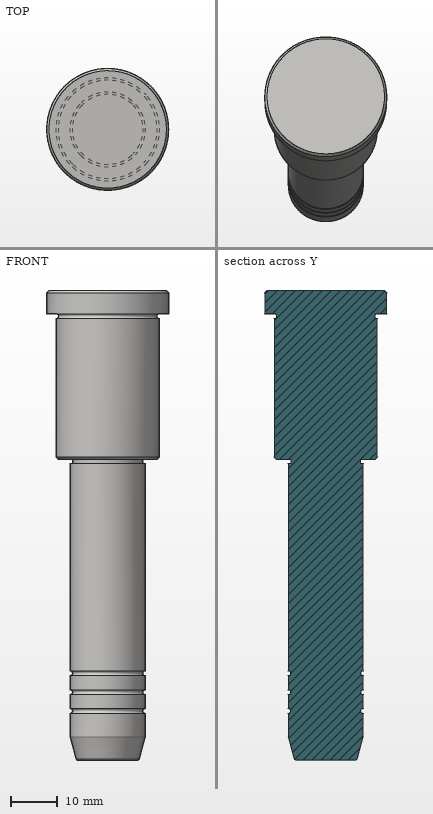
import cadquery as cq
import math

total_length = 100.0
head_height = 5.0
sleeve_bottom = 64.0
taper_height = 5.0

head_radius = 13.0
sleeve_radius = 11.0
pin_radius = 8.0

edge_chamfer = 0.5
taper_angle = math.radians(15.0)
tip_fillet = 0.5

head_groove_width = 1.0

relief_width = 0.8
relief_depth = 0.5

ring_groove_tops = (19.0, 15.0, 11.0)
ring_groove_width = 1.0


def cylinder(radius, bottom, top):
    """Solid cylinder on the Z axis between two heights."""
    return cq.Workplane("XY").workplane(offset=bottom).circle(radius).extrude(top - bottom)


def cut_groove(body, outer_radius, depth, top, width):
    """Cut a square ring groove into a cylindrical surface."""
    bottom = top - width
    ring = cylinder(outer_radius, bottom, top).cut(cylinder(outer_radius - depth, bottom, top))
    return body.cut(ring)


def cut_round_groove(body, outer_radius, top, width):
    """Cut a ring groove with a semicircular section into a cylindrical surface."""
    groove_radius = width / 2
    middle = top - groove_radius
    section = cq.Workplane("XZ").center(outer_radius, middle).circle(groove_radius)
    return body.cut(section.revolve(360, (-outer_radius, 0, 0), (-outer_radius, 1, 0)))


def tapered_tip():
    """Cone narrowing towards the tip, with a rounded end edge."""
    end_radius = pin_radius - taper_height * math.tan(taper_angle)
    profile = (
        cq.Workplane("XZ")
        .lineTo(end_radius, 0)
        .lineTo(pin_radius, taper_height)
        .lineTo(0, taper_height)
        .close()
    )
    cone = profile.revolve(360, (0, 0, 0), (0, 1, 0))
    return cone.faces("<Z").edges().fillet(tip_fillet)


head_bottom = total_length - head_height
head = cylinder(head_radius, head_bottom, total_length).faces(">Z").chamfer(edge_chamfer)

sleeve = cylinder(sleeve_radius, sleeve_bottom, head_bottom).faces("<Z").chamfer(edge_chamfer)
sleeve = cut_round_groove(sleeve, sleeve_radius, head_bottom, head_groove_width)

pin = cylinder(pin_radius, taper_height, sleeve_bottom)
pin = cut_groove(pin, pin_radius, relief_depth, sleeve_bottom, relief_width)
for groove_top in ring_groove_tops:
    pin = cut_round_groove(pin, pin_radius, groove_top, ring_groove_width)

result = head.union(sleeve).union(pin).union(tapered_tip())